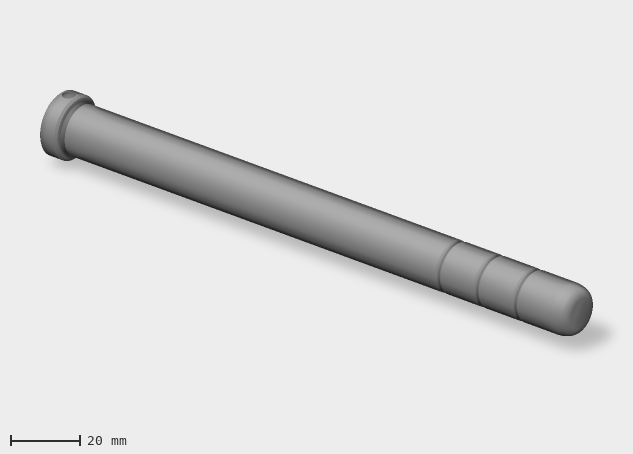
import cadquery as cq
import math

head_diameter = 20.0
head_length = 6.0
head_back_chamfer = 0.7
head_front_chamfer = 0.4

length = 190.0
shaft_diameter = 16.0

relief_depth = 0.8
relief_length = 1.7

groove_positions = (144.0, 158.0, 172.0)
groove_width = 2.0
groove_depth = 0.6

lead_length = 5.0
lead_radius = 8.0
nose_length = 1.5

hole_mouth_diameter = 4.2
hole_diameter = 2.6
hole_depth = 5.0
mouth_chamfer_angle = 45.0
drill_point_angle = 118.0

recess_diameter = 4.0
recess_depth = 0.5

head_radius = head_diameter / 2
shaft_radius = shaft_diameter / 2


def revolve_about_x(profile):
    return profile.close().revolve(360, (0, 0, 0), (1, 0, 0))


def turned_body():
    relief_radius = shaft_radius - relief_depth
    relief_end = head_length + relief_length
    relief_arc_radius = (relief_length**2 + relief_depth**2) / (2 * relief_depth)
    lead_start = length - lead_length
    nose_start = length - nose_length
    lead_run = nose_start - lead_start
    lead_angle = math.asin(lead_run / lead_radius)
    nose_start_radius = shaft_radius - lead_radius * (1 - math.cos(lead_angle))
    nose_radius = nose_length / (1 - math.sin(lead_angle))
    end_face_radius = nose_start_radius - nose_radius * math.cos(lead_angle)
    return revolve_about_x(
        cq.Workplane("XZ")
        .lineTo(0, head_radius - head_front_chamfer)
        .lineTo(head_front_chamfer, head_radius)
        .lineTo(head_length - head_back_chamfer, head_radius)
        .lineTo(head_length, head_radius - head_back_chamfer)
        .lineTo(head_length, shaft_radius)
        .radiusArc((relief_end, relief_radius), -relief_arc_radius)
        .lineTo(relief_end, shaft_radius)
        .lineTo(lead_start, shaft_radius)
        .radiusArc((nose_start, nose_start_radius), lead_radius)
        .radiusArc((length, end_face_radius), nose_radius)
        .lineTo(length, 0)
    )


def v_groove(position):
    half_width = groove_width / 2
    return revolve_about_x(
        cq.Workplane("XZ")
        .moveTo(position - half_width, shaft_radius)
        .lineTo(position, shaft_radius - groove_depth)
        .lineTo(position + half_width, shaft_radius)
    )


def axial_hole():
    mouth_radius = hole_mouth_diameter / 2
    radius = hole_diameter / 2
    chamfer_depth = (mouth_radius - radius) / math.tan(math.radians(mouth_chamfer_angle))
    point_length = radius / math.tan(math.radians(drill_point_angle / 2))
    return revolve_about_x(
        cq.Workplane("XZ")
        .lineTo(0, mouth_radius)
        .lineTo(chamfer_depth, radius)
        .lineTo(hole_depth, radius)
        .lineTo(hole_depth + point_length, 0)
    )


def head_recess():
    return (
        cq.Workplane("XY", origin=(head_length / 2, 0, head_radius - recess_depth))
        .circle(recess_diameter / 2)
        .extrude(head_radius)
    )


result = turned_body()
for groove_position in groove_positions:
    result = result.cut(v_groove(groove_position))
result = result.cut(axial_hole())
result = result.cut(head_recess())